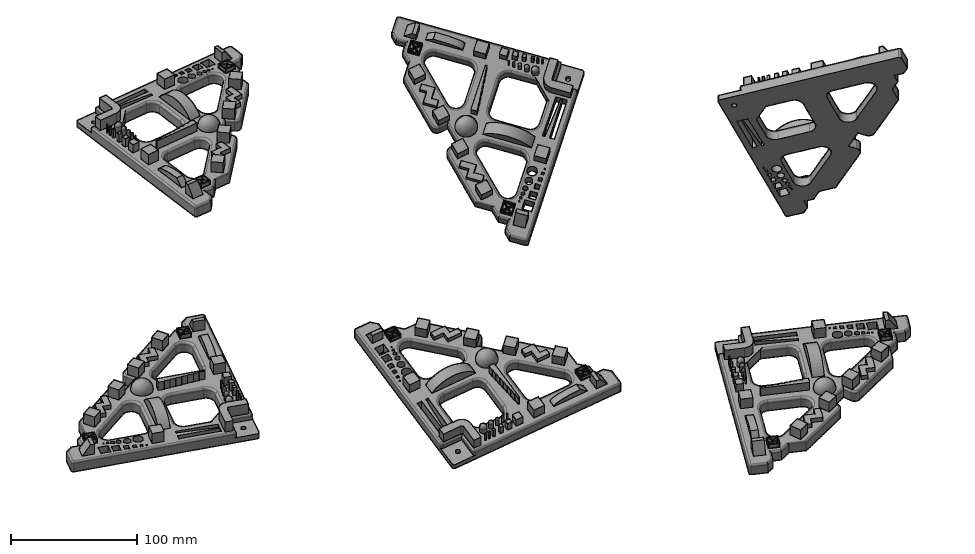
import cadquery as cq
import math

SIDE = 155.0
TOP_Z = 20.0
BASE_H = TOP_Z / 2
STUD_H = TOP_Z - BASE_H
SINK = 0.8
EDGE_R = 1.5
SHOULDER_EDGE_R = 0.8
CORNER_R = 2.0
HYPOTENUSE_SUM = 184.1

TIP_WIDTH = 15.0
TIP_CUT = 5.1
SHELF_END = 142.0
SHELF_CUT_Y = 28.2
SHOULDER_X = 134.5

MID_NOTCH_SUM = 167.1
MID_NOTCH_DIFF = 12.7
EAR_R = 5.0

RECESS_SIDE = 18.9
RECESS_Z = 5.0
RECESS_R = 1.4
MOUNT_D = 4.0
MOUNT_POS = 10.4

WINDOW_NEAR = 28.0
WINDOW_SPAN = 26.7
WINDOW_PITCH = 61.8
WINDOW_R = 7.5
WINDOW_EDGE_R = 2.0
WINDOW_CUT_SUM = 53.8

CUBE = 9.9
CUBE_INSET = 5.3
CUBE_ALONG = 77.2
TURNED_CUBES = [(45.4, 124.8), (73.6, 96.4)]

WEDGE_START = 134.7
WEDGE_TOP = 3.3
WEDGE_LENGTH = 10.0

LOW_H = 4.0
CUP_X = 18.3
CUP_Y = 128.3
CUP_SIDE = 9.6
CUP_WALL = 0.6
CUP_CROSS_WALL = 0.5

ZIGZAGS = [
    ((49.0, 62.2, 112.5, 118.0), (57.5, 70.0, 105.5, 110.7)),
    ((102.1, 113.3, 61.4, 66.8), (108.0, 119.2, 52.0, 56.9)),
]

PIN_H = 8.0
PIN_ROW_Y = 5.3
ROUND_PIN_Y = 14.5
SQUARE_PINS = [(64.0, 6.0), (55.0, 4.0), (47.7, 3.0), (40.9, 2.0), (36.7, 1.5), (33.0, 1.0)]
ROUND_PINS = [(36.3, 6.0), (43.2, 4.0), (49.1, 3.0), (54.0, 2.0), (58.3, 1.0)]
BLADE_X = 74.9
BLADE_Y = 63.1
BLADE_STEPS = 8
BLADE_STEP_LENGTH = 5.0
BLADE_WIDTH = 5.0
BLADE_WIDTH_STEP = 0.5

SQUARE_HOLE_X = 4.5
SQUARE_HOLES = [(125.5, 8.0), (116.1, 6.0), (107.9, 4.0), (101.4, 3.0), (95.8, 2.0), (91.6, 1.0)]
ROUND_HOLES = [(14.1, 96.3, 8.0), (14.1, 105.1, 6.0), (15.0, 111.9, 4.0),
               (15.5, 116.9, 3.0), (16.1, 120.7, 2.0), (16.5, 124.0, 1.0)]

SLOT_LOW = 30.0
SLOT_HIGH = 65.0
STRAIGHT_SLOT = (5.3, 9.3)
TAPER_SLOT_LOW = (10.4, 14.5)
TAPER_SLOT_HIGH = (13.2, 15.2)

BALL_POS = 75.0
BALL_R = 9.0
ARCH_X = 20.3
ARCH_SPAN = 40.3
ARCH_Y = 67.6
ARCH_WIDTH = 9.9
RAMP_X = 96.7
RAMP_CREST = 121.0
RAMP_END = 127.4
RAMP_H = 6.0
RAMP_Y = 7.1
RAMP_WIDTH = 6.2

BEND_START = 3.3
BEND_CENTER = 19.2
BEND_INNER_R = 1.7
BEND_OUTER_R = 8.4


def flip(shape):
    """Mirror a shape across the diagonal plane x = y."""
    return shape.mirror(cq.Vector(1, -1, 0))


def raised_box(x, y, dx, dy, height):
    """Box standing on the base with its low corner at x, y."""
    return cq.Workplane().box(dx, dy, height + SINK, centered=False).translate((x, y, BASE_H - SINK))


def on_shoulder(edge):
    middle = edge.Center()
    return math.isclose(max(middle.x, middle.y), SHOULDER_X, abs_tol=0.02)


def round_outline(plate):
    """Round the top edges, with a smaller radius on the two shoulders."""
    long_edges = [edge for edge in plate.faces(">Z").edges().vals() if not on_shoulder(edge)]
    plate = plate.newObject(long_edges).fillet(EDGE_R)
    shoulders = [edge for edge in plate.faces(">Z").edges().vals() if on_shoulder(edge)]
    return plate.newObject(shoulders).fillet(SHOULDER_EDGE_R)


def base_plate():
    half = [
        (SIDE, 0),
        (SIDE, TIP_WIDTH),
        (SIDE - TIP_CUT, TIP_WIDTH + TIP_CUT),
        (SHELF_END, TIP_WIDTH + TIP_CUT),
        (SHELF_END, SHELF_CUT_Y),
        (SHOULDER_X, SHELF_CUT_Y + SHELF_END - SHOULDER_X),
        (SHOULDER_X, HYPOTENUSE_SUM - SHOULDER_X),
        ((HYPOTENUSE_SUM + MID_NOTCH_DIFF) / 2, (HYPOTENUSE_SUM - MID_NOTCH_DIFF) / 2),
        ((MID_NOTCH_SUM + MID_NOTCH_DIFF) / 2, (MID_NOTCH_SUM - MID_NOTCH_DIFF) / 2),
    ]
    other_half = [(y, x) for x, y in reversed(half)]
    plate = cq.Workplane().polyline([(0, 0)] + half + other_half).close().extrude(BASE_H)
    recess = cq.Workplane().box(RECESS_SIDE, RECESS_SIDE, BASE_H, centered=False).translate((0, 0, RECESS_Z))
    plate = plate.cut(recess)

    ear = half[-2]
    rounds = [
        ((0, 0), CORNER_R), ((SIDE, 0), CORNER_R), ((0, SIDE), CORNER_R),
        (ear, EAR_R), (ear[::-1], EAR_R),
        ((RECESS_SIDE, 0), RECESS_R), ((0, RECESS_SIDE), RECESS_R),
    ]
    for (x, y), radius in rounds:
        nearest = cq.selectors.NearestToPointSelector((x, y, BASE_H / 2))
        plate = plate.edges("|Z").edges(nearest).fillet(radius)
    return round_outline(plate)


def window_prism(centers):
    """Through cutter whose corners are rounded about the given centres."""
    return cq.Workplane().polyline(centers).close().offset2D(WINDOW_R).extrude(BASE_H)


def square_window():
    low = WINDOW_NEAR
    high = WINDOW_NEAR + WINDOW_SPAN
    kept_corner = (cq.Workplane().polyline([(0, 0), (WINDOW_CUT_SUM, 0), (0, WINDOW_CUT_SUM)])
                   .close().extrude(BASE_H))
    return window_prism([(low, low), (high, low), (high, high), (low, high)]).cut(kept_corner)


def triangle_window():
    x = WINDOW_NEAR
    y = WINDOW_NEAR + WINDOW_PITCH
    return window_prism([(x, y), (x + WINDOW_SPAN, y), (x, y + WINDOW_SPAN)])


def cut_window(plate, window):
    """Cut a window and round its top edges, leaving the cut corner's edge sharp."""
    plate = plate.cut(window)
    rim = []
    for edge in window.faces(">Z").edges().vals():
        middle = edge.Center()
        if abs(middle.x + middle.y - WINDOW_CUT_SUM) > EDGE_R:
            nearest = cq.selectors.NearestToPointSelector(middle.toTuple())
            rim.append(plate.edges(nearest).val())
    return plate.newObject(rim).fillet(WINDOW_EDGE_R)


def drill(x, y, diameter):
    return cq.Workplane().circle(diameter / 2).extrude(BASE_H).translate((x, y, 0))


def square_hole(y, side):
    hole = cq.Workplane().box(side, side, BASE_H, centered=(False, True, False))
    return hole.translate((SQUARE_HOLE_X, y, 0))


def slot(low_side, high_side):
    """Through slot between a lower and an upper side, each a left and right X."""
    outline = [(low_side[0], SLOT_LOW), (low_side[1], SLOT_LOW),
               (high_side[1], SLOT_HIGH), (high_side[0], SLOT_HIGH)]
    return cq.Workplane().polyline(outline).close().extrude(BASE_H)


def wedge():
    z = BASE_H - SINK
    outline = [
        (WEDGE_START, z), (WEDGE_START, TOP_Z), (WEDGE_START + WEDGE_TOP, TOP_Z),
        (WEDGE_START + WEDGE_LENGTH, BASE_H), (WEDGE_START + WEDGE_LENGTH, z),
    ]
    return cq.Workplane("YZ").polyline(outline).close().extrude(CUBE).translate((CUBE_INSET, 0, 0))


def cup():
    """Open thin-walled box with two thin walls crossing along its diagonals."""
    inside = CUP_SIDE - 2 * CUP_WALL
    walls = cq.Workplane().rect(CUP_SIDE, CUP_SIDE).rect(inside, inside).extrude(LOW_H + SINK)
    for angle in (45, 135):
        cross = cq.Workplane().rect(inside * math.sqrt(2), CUP_CROSS_WALL).extrude(LOW_H + SINK)
        walls = walls.union(cross.rotate((0, 0, 0), (0, 0, 1), angle))
    return walls.translate((CUP_X + CUP_SIDE / 2, CUP_Y + CUP_SIDE / 2, BASE_H - SINK))


def turned_cube(x, y):
    block = cq.Workplane().box(CUBE, CUBE, STUD_H + SINK, centered=(True, True, False))
    return block.rotate((0, 0, 0), (0, 0, 1), 45).translate((x, y, BASE_H - SINK))


def zigzag(top_bar, bottom_bar):
    """Z-shaped block: two bars joined by a post where their X ranges overlap.

    Each bar is left, right, bottom, top.
    """
    left, post_right, top_bar_bottom, top = top_bar
    post_left, right, bottom, bottom_bar_top = bottom_bar
    outline = [
        (left, top), (post_right, top), (post_right, bottom_bar_top), (right, bottom_bar_top),
        (right, bottom), (post_left, bottom), (post_left, top_bar_bottom), (left, top_bar_bottom),
    ]
    block = cq.Workplane().polyline(outline).close().extrude(LOW_H + SINK)
    return block.translate((0, 0, BASE_H - SINK))


def round_pin(x, diameter):
    radius = diameter / 2
    pin = cq.Workplane().circle(radius).extrude(PIN_H - radius + SINK).translate((0, 0, BASE_H - SINK))
    tip = cq.Workplane().sphere(radius).translate((0, 0, BASE_H + PIN_H - radius))
    return pin.union(tip).translate((x, ROUND_PIN_Y, 0))


def blade_step(index):
    width = BLADE_WIDTH - index * BLADE_WIDTH_STEP
    y = BLADE_Y - (index + 1) * BLADE_STEP_LENGTH
    return raised_box(BLADE_X - width, y, width, BLADE_STEP_LENGTH, PIN_H)


def ball():
    upper_half = cq.Workplane().sphere(BALL_R, angle1=0)
    foot = cq.Workplane().circle(BALL_R).extrude(-SINK)
    return upper_half.union(foot).translate((BALL_POS, BALL_POS, BASE_H))


def bent_wall():
    near = BEND_CENTER + BEND_INNER_R
    far = BEND_CENTER + BEND_OUTER_R
    diagonal = math.sqrt(0.5)
    inner_mid = BEND_CENTER + BEND_INNER_R * diagonal
    outer_mid = BEND_CENTER + BEND_OUTER_R * diagonal
    return (cq.Workplane().workplane(offset=BASE_H - SINK)
            .moveTo(BEND_START, near).lineTo(BEND_CENTER, near)
            .threePointArc((inner_mid, inner_mid), (near, BEND_CENTER))
            .lineTo(near, BEND_START).lineTo(far, BEND_START).lineTo(far, BEND_CENTER)
            .threePointArc((outer_mid, outer_mid), (BEND_CENTER, far))
            .lineTo(BEND_START, far).close().extrude(STUD_H + SINK))


def arch():
    end = ARCH_X + ARCH_SPAN
    return (cq.Workplane("XZ").moveTo(ARCH_X, BASE_H - SINK).lineTo(ARCH_X, BASE_H)
            .threePointArc((ARCH_X + ARCH_SPAN / 2, TOP_Z), (end, BASE_H))
            .lineTo(end, BASE_H - SINK).close().extrude(-ARCH_WIDTH).translate((0, ARCH_Y, 0)))


def ramp():
    run = RAMP_CREST - RAMP_X
    return (cq.Workplane("XZ").moveTo(RAMP_CREST, BASE_H)
            .ellipseArc(run, RAMP_H, 90, 180, startAtCurrent=False)
            .lineTo(RAMP_X, BASE_H - SINK).lineTo(RAMP_END, BASE_H - SINK).lineTo(RAMP_END, BASE_H)
            .close().extrude(-RAMP_WIDTH).translate((0, RAMP_Y, 0)))


cutters = [
    drill(MOUNT_POS, MOUNT_POS, MOUNT_D),
    slot(STRAIGHT_SLOT, STRAIGHT_SLOT),
    slot(TAPER_SLOT_LOW, TAPER_SLOT_HIGH),
]
cutters += [square_hole(y, side) for y, side in SQUARE_HOLES]
cutters += [drill(x, y, diameter) for x, y, diameter in ROUND_HOLES]

cube = raised_box(CUBE_INSET, CUBE_ALONG, CUBE, CUBE, STUD_H)
features = [bent_wall(), arch(), ramp(), ball()]
for shape in (cube, wedge(), cup()):
    features += [shape, flip(shape)]
for x, y in TURNED_CUBES:
    features += [turned_cube(x, y), turned_cube(y, x)]
features += [zigzag(top_bar, bottom_bar) for top_bar, bottom_bar in ZIGZAGS]
features += [raised_box(x - side / 2, PIN_ROW_Y, side, side, PIN_H) for x, side in SQUARE_PINS]
features += [round_pin(x, diameter) for x, diameter in ROUND_PINS]
features += [blade_step(index) for index in range(BLADE_STEPS)]

result = base_plate()
for window in (square_window(), triangle_window(), flip(triangle_window())):
    result = cut_window(result, window)
for cutter in cutters:
    result = result.cut(cutter)
for feature in features:
    result = result.union(feature)